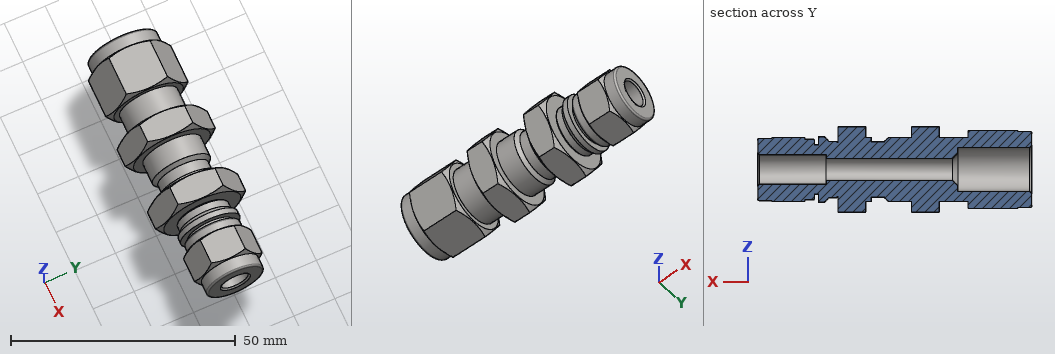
import cadquery as cq
import math

length = 61.05
end_rounding = 0.4
hex_chamfer_angle = 30

large_collar_diameter = 17.0
body_diameter = 14.3
relief_diameter = 12.45
shoulder_diameter = 12.6
flange_diameter = 14.6
groove_diameter = 11.1
neck_ring_diameter = 13.55
small_collar_diameter = 13.9

large_hex_start, large_hex_end = 3.05, 14.2
nut_length = 6.2
lock_nut_start = 20.6
body_nut_start = 36.95
relief_start, relief_end = 32.85, 35.7
shoulder_start = 43.1
flange_start, flange_end = 46.15, 47.5
neck_ring_start = 48.35
small_hex_start, small_hex_end = 50.5, 57.95

large_hex_flats = 17.45
nut_flats = 19.1
nut_face_diameter = 18.8
small_hex_flats = 14.35

body_chamfer = (body_diameter - relief_diameter) / 2
flange_chamfer = (flange_diameter - shoulder_diameter) / 2
shoulder_chamfer = 0.35
neck_ring_rounding = 0.35

through_diameter = 4.8
through_mouth_diameter = 7.25
large_bore_diameter, large_mouth_diameter, large_bore_depth = 9.7, 10.75, 16.5
small_bore_diameter, small_mouth_diameter, small_bore_depth = 6.55, 7.3, 15.25


def cylinder(start, end, diameter):
    return cq.Workplane("YZ", origin=(start, 0, 0)).circle(diameter / 2).extrude(end - start)


def cone(start, end, start_diameter, end_diameter):
    """Solid cone frustum along X."""
    profile = [(start, 0), (start, start_diameter / 2), (end, end_diameter / 2), (end, 0)]
    return cq.Workplane("XY").polyline(profile).close().revolve(360, (0, 0, 0), (1, 0, 0))


def hexagon(start, end, flats, face_diameter):
    """Hexagonal prism with corners at +Y and -Y, turned to a cone at both ends."""
    corner_radius = flats / 2 / math.cos(math.radians(30))
    face_radius = face_diameter / 2
    depth = (corner_radius - face_radius) * math.tan(math.radians(hex_chamfer_angle))
    prism = cq.Workplane("YZ", origin=(start, 0, 0)).polygon(6, 2 * corner_radius).extrude(end - start)
    turned_profile = [
        (start, 0),
        (start, face_radius),
        (start + depth, corner_radius),
        (end - depth, corner_radius),
        (end, face_radius),
        (end, 0),
    ]
    turned = cq.Workplane("XY").polyline(turned_profile).close().revolve(360, (0, 0, 0), (1, 0, 0))
    return prism.intersect(turned)


def round_sections():
    large_collar = cylinder(0, large_hex_start, large_collar_diameter).faces("<X").edges().fillet(end_rounding)
    body = cylinder(large_hex_end, relief_start, body_diameter).faces(">X").edges().chamfer(body_chamfer)
    relief = cylinder(relief_start, relief_end, relief_diameter)
    nut_ring = cylinder(relief_end, body_nut_start, body_diameter)
    shoulder = cylinder(shoulder_start, flange_start, shoulder_diameter)
    shoulder = shoulder.faces("<X").edges().chamfer(shoulder_chamfer)
    flange = cylinder(flange_start - flange_chamfer, flange_end, flange_diameter)
    flange = flange.faces("<X").edges().chamfer(flange_chamfer)
    groove = cylinder(flange_end, neck_ring_start, groove_diameter)
    neck_ring = cylinder(neck_ring_start, small_hex_start, neck_ring_diameter)
    neck_ring = neck_ring.faces("<X").edges().fillet(neck_ring_rounding)
    small_collar = cylinder(small_hex_end, length, small_collar_diameter).faces(">X").edges().fillet(end_rounding)
    return [large_collar, body, relief, nut_ring, shoulder, flange, groove, neck_ring, small_collar]


def hex_sections():
    large_hex = hexagon(large_hex_start, large_hex_end, large_hex_flats, large_collar_diameter)
    nuts = [
        hexagon(start, start + nut_length, nut_flats, nut_face_diameter)
        for start in (lock_nut_start, body_nut_start)
    ]
    small_hex = hexagon(small_hex_start, small_hex_end, small_hex_flats, small_collar_diameter)
    return [large_hex, *nuts, small_hex]


def bores():
    """Through hole, a tube socket at each end, and 45 degree lead-ins."""
    large_lead = (large_mouth_diameter - large_bore_diameter) / 2
    small_lead = (small_mouth_diameter - small_bore_diameter) / 2
    through_lead = (through_mouth_diameter - through_diameter) / 2
    through_lead_end = large_bore_depth + through_lead
    return [
        cylinder(0, length, through_diameter),
        cylinder(0, large_bore_depth, large_bore_diameter),
        cone(0, large_lead, large_mouth_diameter, large_bore_diameter),
        cone(large_bore_depth, through_lead_end, through_mouth_diameter, through_diameter),
        cylinder(length - small_bore_depth, length, small_bore_diameter),
        cone(length - small_lead, length, small_bore_diameter, small_mouth_diameter),
    ]


result = cq.Workplane("XY")
for section in round_sections() + hex_sections():
    result = result.union(section)
for bore in bores():
    result = result.cut(bore)